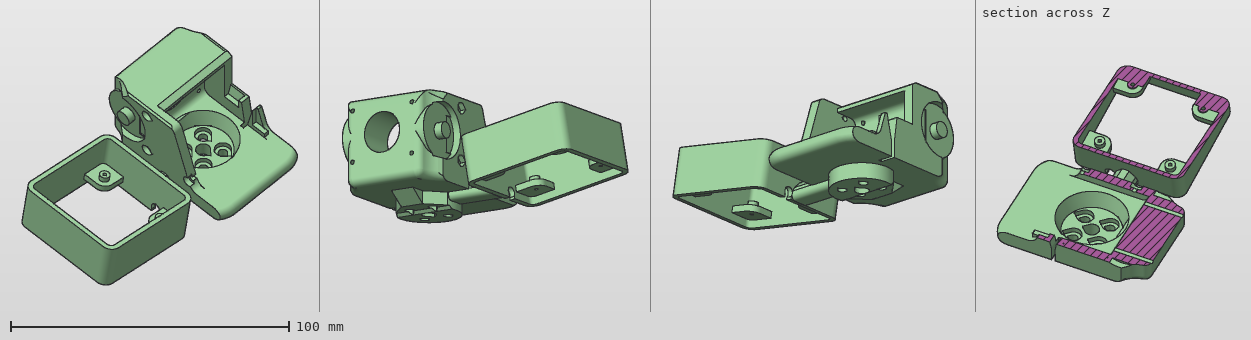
import cadquery as cq
import math

LENGTH = 60.2
HEIGHT = 33.0
HALF_WIDTH = 19.85

BASE_THICK = 6.0
REAR_CORNER_RADIUS = 10.0
REAR_CORNER_RUN = 6.0
REAR_EDGE_RADIUS = 2.9

HOOD_END = 25.3
HOOD_BEVEL_RUN = 2.5
HOOD_BEVEL_DROP = 1.5
FRONT_TOP_RADIUS = 6.5
FRONT_BOTTOM_RADIUS = 2.9
WALL_INSIDE = 15.9
FRONT_WALL = 15.2
ROOF_THICK = 3.0
TOP_CHAMFER_WIDTH = 1.0
TOP_CHAMFER_DROP = 0.35

FACE_HALF_WIDTH = 13.1
CORNER_MID_X, CORNER_MID_HALF_WIDTH = 0.8, 15.2
NECK_X, NECK_HALF_WIDTH = 2.5, 16.1
HOLLOW_MID_X, HOLLOW_MID_HALF_WIDTH = 5.05, 16.95
SHOULDER_X, SHOULDER_HALF_WIDTH = 7.6, 18.7
FLARE_END = 9.2
FLARE_TILT = 45.0
FLARE_PIVOT_Z = 29.8

PLATE_TOP_END = 34.6
PLATE_FOOT_END = 43.6
PLATE_CORNER_RADIUS = 3.0
PLATE_FOOT_RADIUS = 4.0
LOW_PLATE_HEIGHT = 16.0

LEDGE_HEIGHT = 12.0
RELIEF_BOTTOM_Y = 17.9
RELIEF_TOP_Y = 19.1
RELIEF_END = 32.4
LUG_END = 45.4
LUG_HEIGHT = 8.0
SLIT_START, SLIT_END = 35.4, 36.9
SLIT_DEPTH = 6.0
FUNNEL_FRONT_X, FUNNEL_REAR_X = 33.9, 39.3

HINGE_X, HINGE_Z = 10.0, 18.5
HINGE_DISC_RADIUS = 10.0
HINGE_POCKET_RADIUS = 10.5
HINGE_FLOOR_Y = 17.4
PIN_DIAMETER = 6.0
PIN_END_Y = 20.45
STEP_X = FRONT_WALL
STEP_HALF_HEIGHT = 6.8
STEP_DEPTH = 0.5

LENS_DIAMETER = 15.0
LENS_Y, LENS_Z = 0.4, 18.5
LENS_SCREW_DIAMETER = 1.5
LENS_SCREW_PITCH_Y, LENS_SCREW_PITCH_Z = 25.4, 19.0

SIDE_SCREWS = ((21.1, 28.9), (21.1, 9.5), (41.9, 9.5))
SIDE_SCREW_RADIUS = 1.0
SIDE_HEAD_RADIUS = 2.1
SIDE_HEAD_DEPTH = 2.2

MOUNT_X = 30.2
MOUNT_RADIUS = 12.0
MOUNT_DEPTH = 6.0
MOUNT_STEP_DEPTH = 4.8
MOUNT_STEP_X = 26.3
WEDGE_RUN = 6.5
DISH_TOP_RADIUS = 13.3
DISH_FLOOR_RADIUS = 11.1
DISH_FLOOR_Z = 0.0
CABLE_HOLE_RADIUS = 2.7
MOUNT_SCREW_RADIUS = 1.7
MOUNT_HEAD_RADIUS = 3.1
MOUNT_HEAD_DEPTH = 2.0
MOUNT_SCREW_OFFSET = 5.0

FRAME_SIZE = 44.0
FRAME_HEIGHT = 18.0
FRAME_WALL = 2.0
FRAME_OUTER_RADIUS = 4.0
FRAME_TILT = 10.0
FRAME_BACK_Y, FRAME_BOTTOM_Z = -29.6, -2.97
PAD_SIZE = 10.0
PAD_RADIUS = 4.0
PAD_BOTTOM = 3.0
PAD_THICK = 2.5
PEG_DIAMETER = 3.8
PEG_HEIGHT = 2.0
PEG_HOLE_DIAMETER = 1.3
PEG_PITCH = 28.0
NOTCH_X = 36.7
NOTCH_RADIUS = 2.0
NOTCH_CENTRE_HEIGHT = 2.2
NOTCH_SLOT_WIDTH = 3.2

ARM_HALF_WIDTH = 4.5
ARM_TOP, ARM_APEX, ARM_BOTTOM = 4.15, 4.4, -3.1
ARM_SHOULDER_X, ARM_SHOULDER_Z = 3.8, 1.7
ARM_RIDGE_X = 1.4
ARM_SIDE_TOP, ARM_SIDE_BOTTOM = 0.2, -0.9
ARM_BOTTOM_X = 2.5
ARM_OVERLAP = 0.7
ARM_START_Y = -MOUNT_RADIUS + ARM_OVERLAP
ARM_END_Y = FRAME_BACK_Y


def block(x0, x1, y0, y1, z0, z1):
    """Box between two opposite corners."""
    return cq.Workplane("XY").box(x1 - x0, y1 - y0, z1 - z0, centered=False).translate((x0, y0, z0))


def extrude_y(profile, y0, y1):
    """Extrude a closed XZ profile from y0 up to y1."""
    return profile.extrude(-(y1 - y0)).translate((0, y0, 0))


def mirrored(shape):
    """The shape and its mirror image across the XZ plane."""
    return shape.union(shape.mirror("XZ"))


def teardrop(plane, x, y, radius):
    """Circle with a 45 degree point toward +X, on the given plane."""
    side = radius / math.sqrt(2)
    return (
        cq.Workplane(plane)
        .moveTo(x + side, y + side)
        .threePointArc((x - radius, y), (x + side, y - side))
        .lineTo(x + radius * math.sqrt(2), y)
        .close()
    )


def base_plate():
    corner_drop = REAR_CORNER_RADIUS - math.sqrt(REAR_CORNER_RADIUS**2 - REAR_CORNER_RUN**2)
    straight_y = HALF_WIDTH - REAR_CORNER_RUN
    half_run = REAR_CORNER_RUN / 2
    half_drop = REAR_CORNER_RADIUS - math.sqrt(REAR_CORNER_RADIUS**2 - half_run**2)
    corner_x = LENGTH - corner_drop
    arc_x, arc_y = LENGTH - half_drop, straight_y + half_run
    plate = (
        cq.Workplane("XY")
        .moveTo(HOOD_END, -HALF_WIDTH)
        .lineTo(corner_x, -HALF_WIDTH)
        .threePointArc((arc_x, -arc_y), (LENGTH, -straight_y))
        .lineTo(LENGTH, straight_y)
        .threePointArc((arc_x, arc_y), (corner_x, HALF_WIDTH))
        .lineTo(HOOD_END, HALF_WIDTH)
        .close()
        .extrude(BASE_THICK)
    )
    margin = 1.0
    rear = cq.selectors.BoxSelector(
        (corner_x - margin, -HALF_WIDTH + margin, -margin),
        (LENGTH + margin, HALF_WIDTH - margin, BASE_THICK + margin),
    )
    return plate.faces("<Z or >Z").edges(rear).fillet(REAR_EDGE_RADIUS)


def flare_cutter():
    """Material outside the curved flare on the -Y side, over the full height."""
    outside = HALF_WIDTH + FLARE_END
    return (
        cq.Workplane("XY")
        .moveTo(0, -FACE_HALF_WIDTH)
        .threePointArc((CORNER_MID_X, -CORNER_MID_HALF_WIDTH), (NECK_X, -NECK_HALF_WIDTH))
        .threePointArc((HOLLOW_MID_X, -HOLLOW_MID_HALF_WIDTH), (SHOULDER_X, -SHOULDER_HALF_WIDTH))
        .lineTo(FLARE_END, -HALF_WIDTH)
        .lineTo(FLARE_END, -outside)
        .lineTo(-outside, -outside)
        .lineTo(-outside, -FACE_HALF_WIDTH)
        .close()
        .extrude(2 * HEIGHT)
        .translate((0, 0, -HEIGHT / 2))
    )


def hood():
    body = block(0, HOOD_END, -HALF_WIDTH, HALF_WIDTH, 0, HEIGHT)
    body = body.edges("<X and >Z").fillet(FRONT_TOP_RADIUS)
    upright = flare_cutter()
    body = body.cut(mirrored(upright))
    margin = 0.1
    lower_edges = cq.selectors.BoxSelector((-margin, -HALF_WIDTH, -margin), (SHOULDER_X, HALF_WIDTH, margin))
    body = body.edges(lower_edges).fillet(FRONT_BOTTOM_RADIUS)
    pivot = (FLARE_END, 0, FLARE_PIVOT_Z)
    tilted = upright.rotate(pivot, (FLARE_END, 1, FLARE_PIVOT_Z), FLARE_TILT)
    return body.cut(mirrored(tilted))


def hood_bevel():
    """Sloped rear end of the roof, between the near plate and the far side."""
    profile = (
        cq.Workplane("XZ")
        .moveTo(HOOD_END - HOOD_BEVEL_RUN, HEIGHT)
        .lineTo(HOOD_END, HEIGHT - HOOD_BEVEL_DROP)
        .lineTo(HOOD_END, HEIGHT)
        .close()
    )
    return extrude_y(profile, -WALL_INSIDE, HALF_WIDTH)


def side_plate(height):
    """Plate on the -Y side with a sloped rear edge that runs out on the base."""
    far_x = LENGTH - REAR_CORNER_RUN
    profile = (
        cq.Workplane("XZ")
        .moveTo(HOOD_END, 0)
        .lineTo(HOOD_END, HEIGHT)
        .lineTo(PLATE_TOP_END, HEIGHT)
        .lineTo(PLATE_FOOT_END, BASE_THICK)
        .lineTo(far_x, BASE_THICK)
        .lineTo(far_x, 0)
        .close()
    )
    plate = extrude_y(profile, -HALF_WIDTH, -WALL_INSIDE)
    middle_y = -(HALF_WIDTH + WALL_INSIDE) / 2
    top_corner = cq.selectors.NearestToPointSelector((PLATE_TOP_END, middle_y, HEIGHT))
    foot = cq.selectors.NearestToPointSelector((PLATE_FOOT_END, middle_y, BASE_THICK))
    plate = plate.edges("|Y").edges(top_corner).fillet(PLATE_CORNER_RADIUS)
    plate = plate.edges("|Y").edges(foot).fillet(PLATE_FOOT_RADIUS)
    return plate.intersect(block(HOOD_END, LENGTH, -HALF_WIDTH, HALF_WIDTH, 0, height))


def top_chamfers():
    profile = (
        cq.Workplane("YZ")
        .moveTo(-HALF_WIDTH, HEIGHT - TOP_CHAMFER_DROP)
        .lineTo(-HALF_WIDTH + TOP_CHAMFER_WIDTH, HEIGHT)
        .lineTo(-HALF_WIDTH, HEIGHT)
        .close()
        .extrude(LENGTH)
    )
    return mirrored(profile)


def low_plate_relief():
    """Sloped inner face above a ledge on the +Y plate."""
    profile = (
        cq.Workplane("YZ")
        .moveTo(WALL_INSIDE, LEDGE_HEIGHT)
        .lineTo(RELIEF_BOTTOM_Y, LEDGE_HEIGHT)
        .lineTo(RELIEF_TOP_Y, LOW_PLATE_HEIGHT)
        .lineTo(WALL_INSIDE, LOW_PLATE_HEIGHT)
        .close()
    )
    return profile.extrude(RELIEF_END - HOOD_END).translate((HOOD_END, 0, 0))


def lug_zone(z0, z1):
    """Inner half of the +Y plate behind the funnel, between two heights."""
    return block(FUNNEL_REAR_X, LUG_END, WALL_INSIDE, RELIEF_BOTTOM_Y, z0, z1)


def slit():
    """Open slit through the +Y edge, widened to a funnel between the low plate halves."""
    funnel = (
        cq.Workplane("XZ")
        .moveTo(SLIT_START, BASE_THICK)
        .lineTo(FUNNEL_FRONT_X, LOW_PLATE_HEIGHT)
        .lineTo(FUNNEL_REAR_X, LOW_PLATE_HEIGHT)
        .lineTo(SLIT_END, BASE_THICK)
        .close()
    )
    cut = block(SLIT_START, SLIT_END, HALF_WIDTH - SLIT_DEPTH, HALF_WIDTH, 0, LOW_PLATE_HEIGHT)
    return cut.union(extrude_y(funnel, WALL_INSIDE, HALF_WIDTH))


def cavity():
    inside = block(FRONT_WALL, HOOD_END, -WALL_INSIDE, WALL_INSIDE, BASE_THICK, HEIGHT - ROOF_THICK)
    return inside.edges("<X and (>Z or <Z)").fillet(REAR_EDGE_RADIUS)


def hinge_cylinder(radius, y0, y1):
    return extrude_y(cq.Workplane("XZ").center(HINGE_X, HINGE_Z).circle(radius), y0, y1)


def hinge_disc():
    return mirrored(hinge_cylinder(HINGE_DISC_RADIUS, -HINGE_FLOOR_Y, -FACE_HALF_WIDTH))


def hinge_pocket():
    pocket = hinge_cylinder(HINGE_POCKET_RADIUS, -HALF_WIDTH, -HINGE_FLOOR_Y)
    deep = hinge_cylinder(HINGE_POCKET_RADIUS, -HALF_WIDTH, -HINGE_FLOOR_Y + STEP_DEPTH)
    step_zone = block(
        STEP_X, HOOD_END, -HALF_WIDTH, HALF_WIDTH, HINGE_Z - STEP_HALF_HEIGHT, HINGE_Z + STEP_HALF_HEIGHT
    )
    return mirrored(pocket.union(deep.intersect(step_zone)))


def hinge_pins():
    return mirrored(hinge_cylinder(PIN_DIAMETER / 2, -PIN_END_Y, -WALL_INSIDE))


def lens_openings():
    lens = cq.Workplane("YZ").center(LENS_Y, LENS_Z).circle(LENS_DIAMETER / 2).extrude(HOOD_END)
    screws = (
        cq.Workplane("YZ")
        .center(LENS_Y, LENS_Z)
        .rect(LENS_SCREW_PITCH_Y, LENS_SCREW_PITCH_Z, forConstruction=True)
        .vertices()
        .circle(LENS_SCREW_DIAMETER / 2)
        .extrude(HOOD_END)
    )
    return lens.union(screws)


def side_screw_holes():
    """Screw holes through the -Y plate, with heads sunk from outside."""
    holes = cq.Workplane("XY")
    for x, z in SIDE_SCREWS:
        shank = extrude_y(teardrop("XZ", x, z, SIDE_SCREW_RADIUS), -HALF_WIDTH, -WALL_INSIDE)
        head = extrude_y(teardrop("XZ", x, z, SIDE_HEAD_RADIUS), -HALF_WIDTH, -HALF_WIDTH + SIDE_HEAD_DEPTH)
        holes = holes.union(shank).union(head)
    return holes


def mount_boss():
    """Half round at the rear, half octagon at the front, with a sloped wedge."""
    vertex = MOUNT_RADIUS * math.sin(math.pi / 8)
    apothem = MOUNT_RADIUS * math.cos(math.pi / 8)
    outline = (
        cq.Workplane("XY")
        .moveTo(MOUNT_X - vertex, apothem)
        .lineTo(MOUNT_X - apothem, vertex)
        .lineTo(MOUNT_X - apothem, -vertex)
        .lineTo(MOUNT_X - vertex, -apothem)
        .threePointArc((MOUNT_X + MOUNT_RADIUS, 0), (MOUNT_X - vertex, apothem))
        .close()
        .extrude(-MOUNT_DEPTH)
    )
    drop = MOUNT_DEPTH - MOUNT_STEP_DEPTH
    front_x = MOUNT_X - MOUNT_RADIUS
    step = (
        cq.Workplane("XZ")
        .moveTo(front_x, -MOUNT_STEP_DEPTH)
        .lineTo(MOUNT_STEP_X, -MOUNT_STEP_DEPTH)
        .lineTo(MOUNT_STEP_X + drop, -MOUNT_DEPTH)
        .lineTo(front_x, -MOUNT_DEPTH)
        .close()
    )
    flat_x = MOUNT_X - apothem
    wedge = (
        cq.Workplane("XZ")
        .moveTo(flat_x, -MOUNT_STEP_DEPTH)
        .lineTo(flat_x - WEDGE_RUN, 0)
        .lineTo(flat_x, 0)
        .close()
    )
    boss = outline.cut(extrude_y(step, -MOUNT_RADIUS, MOUNT_RADIUS))
    return boss.union(extrude_y(wedge, -vertex, vertex))


def dish():
    return (
        cq.Workplane("XZ")
        .moveTo(0, DISH_FLOOR_Z)
        .lineTo(DISH_FLOOR_RADIUS, DISH_FLOOR_Z)
        .lineTo(DISH_TOP_RADIUS, BASE_THICK)
        .lineTo(0, BASE_THICK)
        .close()
        .revolve(360, (0, 0, 0), (0, 1, 0))
        .translate((MOUNT_X, 0, 0))
    )


def mount_holes():
    holes = teardrop("XY", MOUNT_X, 0, CABLE_HOLE_RADIUS).extrude(-MOUNT_DEPTH)
    for dx in (-MOUNT_SCREW_OFFSET, MOUNT_SCREW_OFFSET):
        for y in (-MOUNT_SCREW_OFFSET, MOUNT_SCREW_OFFSET):
            shank = teardrop("XY", MOUNT_X + dx, y, MOUNT_SCREW_RADIUS).extrude(-MOUNT_DEPTH)
            head = teardrop("XY", MOUNT_X + dx, y, MOUNT_HEAD_RADIUS).extrude(-MOUNT_HEAD_DEPTH)
            holes = holes.union(shank).union(head)
    return holes.translate((0, 0, DISH_FLOOR_Z))


def place_frame(shape):
    """Tilt a frame-aligned shape about its back lower edge and move it into place."""
    return shape.rotate((0, 0, 0), (1, 0, 0), -FRAME_TILT).translate((MOUNT_X, FRAME_BACK_Y, FRAME_BOTTOM_Z))


def square_prism(size, radius, height):
    prism = cq.Workplane("XY").rect(size, size).extrude(height)
    return prism.edges("|Z").fillet(radius).translate((0, -FRAME_SIZE / 2, 0))


def frame_opening():
    return square_prism(FRAME_SIZE - 2 * FRAME_WALL, FRAME_OUTER_RADIUS - FRAME_WALL, FRAME_HEIGHT)


def frame():
    """Open square frame, back wall on Y = 0, underside on Z = 0."""
    envelope = square_prism(FRAME_SIZE, FRAME_OUTER_RADIUS, FRAME_HEIGHT)
    ring = envelope.cut(frame_opening())
    inner_half = FRAME_SIZE / 2 - FRAME_WALL
    wall_overlap = FRAME_WALL / 2
    pad_width = PAD_SIZE + wall_overlap
    pad_centre = inner_half + wall_overlap - pad_width / 2
    middle_y = -FRAME_SIZE / 2
    for sx in (-1, 1):
        for sy in (-1, 1):
            pad = cq.Workplane("XY").rect(pad_width, pad_width).extrude(PAD_THICK)
            inner_edge = ("<X" if sx > 0 else ">X") + " and " + ("<Y" if sy > 0 else ">Y")
            pad = pad.edges("|Z").edges(inner_edge).fillet(PAD_RADIUS)
            pad = pad.translate((sx * pad_centre, middle_y + sy * pad_centre, PAD_BOTTOM))
            ring = ring.union(pad.intersect(envelope))
    peg_pattern = (
        cq.Workplane("XY", origin=(0, middle_y, PAD_BOTTOM))
        .rect(PEG_PITCH, PEG_PITCH, forConstruction=True)
        .vertices()
    )
    peg_top = PAD_THICK + PEG_HEIGHT
    ring = ring.union(peg_pattern.circle(PEG_DIAMETER / 2).extrude(peg_top))
    return ring.cut(peg_pattern.circle(PEG_HOLE_DIAMETER / 2).extrude(peg_top)).cut(cable_notch())


def cable_notch():
    """Keyhole in the lower edge of the back wall."""
    x = NOTCH_X - MOUNT_X
    round_part = cq.Workplane("XZ").center(x, NOTCH_CENTRE_HEIGHT).circle(NOTCH_RADIUS)
    keyhole = extrude_y(round_part, -FRAME_WALL, 0)
    half_slot = NOTCH_SLOT_WIDTH / 2
    return keyhole.union(block(x - half_slot, x + half_slot, -FRAME_WALL, 0, 0, NOTCH_CENTRE_HEIGHT))


def arm_trim():
    """Half space beyond the middle of the tilted back wall, where the arm ends."""
    beyond = block(-FRAME_SIZE, FRAME_SIZE, -FRAME_SIZE, -FRAME_WALL / 2, -FRAME_HEIGHT, FRAME_HEIGHT)
    return place_frame(beyond)


def arm():
    """Ridged bar with rounded lower corners, from the mount boss to the frame."""
    bulge = ARM_BOTTOM_X + (ARM_HALF_WIDTH - ARM_BOTTOM_X) * math.sin(math.pi / 4)
    bulge_z = ARM_SIDE_BOTTOM + (ARM_BOTTOM - ARM_SIDE_BOTTOM) * math.sin(math.pi / 4)
    profile = (
        cq.Workplane("XZ")
        .moveTo(-ARM_HALF_WIDTH, ARM_SIDE_BOTTOM)
        .lineTo(-ARM_HALF_WIDTH, ARM_SIDE_TOP)
        .lineTo(-ARM_SHOULDER_X, ARM_SHOULDER_Z)
        .lineTo(-ARM_RIDGE_X, ARM_TOP)
        .threePointArc((0, ARM_APEX), (ARM_RIDGE_X, ARM_TOP))
        .lineTo(ARM_SHOULDER_X, ARM_SHOULDER_Z)
        .lineTo(ARM_HALF_WIDTH, ARM_SIDE_TOP)
        .lineTo(ARM_HALF_WIDTH, ARM_SIDE_BOTTOM)
        .threePointArc((bulge, bulge_z), (ARM_BOTTOM_X, ARM_BOTTOM))
        .lineTo(-ARM_BOTTOM_X, ARM_BOTTOM)
        .threePointArc((-bulge, bulge_z), (-ARM_HALF_WIDTH, ARM_SIDE_BOTTOM))
        .close()
    )
    bar = extrude_y(profile, ARM_END_Y, ARM_START_Y).translate((MOUNT_X, 0, 0))
    return bar.cut(arm_trim())


head = hood().union(hinge_disc()).cut(hinge_pocket())
body = head.union(base_plate())
body = body.union(side_plate(HEIGHT))
body = body.union(side_plate(LOW_PLATE_HEIGHT).mirror("XZ"))
body = body.cut(cavity()).cut(hood_bevel()).cut(top_chamfers())
body = body.cut(low_plate_relief()).cut(slit())
body = body.cut(lug_zone(LUG_HEIGHT, LOW_PLATE_HEIGHT)).union(lug_zone(BASE_THICK, LUG_HEIGHT))
body = body.union(hinge_pins())
body = body.cut(lens_openings()).cut(side_screw_holes())
body = body.union(mount_boss())
body = body.union(arm()).cut(dish()).cut(mount_holes())
result = body.union(place_frame(frame()))